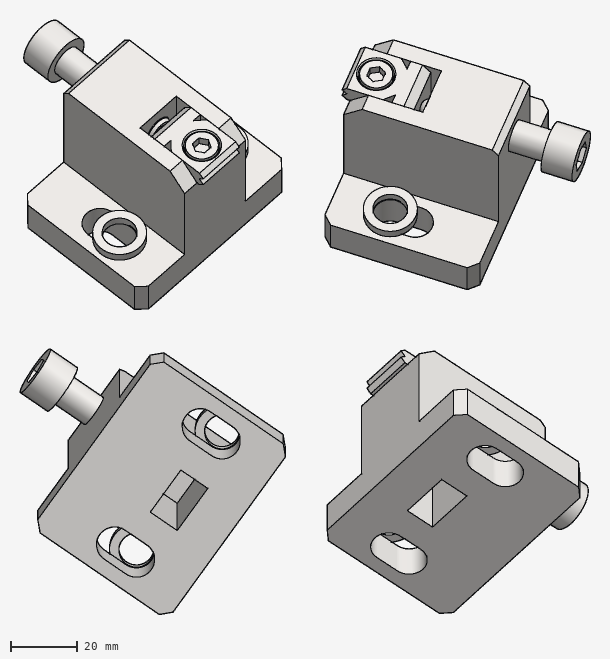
import cadquery as cq
import math


overall_length = 74.2

housing_length = 50.0
housing_height = 50.0
base_width = 65.0
base_height = 12.0
base_corner_chamfer = 3.0
block_width = 27.0
block_back_chamfer = 2.0

mount_x = 31.5
mount_y = 22.5
mount_slot_width = 11.0
mount_slot_travel = 8.0
ring_diameter = 16.3
ring_bore = 10.5
ring_thickness = 3.0

jaw_width = 16.0
jaw_thickness = 6.0
jaw_leg_depth = 15.0
jaw_back_x = 29.9
jaw_leg_front_x = 36.4
jaw_front_x = 52.5
jaw_back_chamfer = 2.7
jaw_notch = 3.0
tooth_count = 2
tooth_pitch = jaw_thickness / tooth_count
tooth_depth = tooth_pitch / 2
tooth_root_x = jaw_front_x - tooth_depth
jaw_bottom_z = housing_height - jaw_thickness

opening_back_x = 26.5

jaw_screw_x = 44.5
jaw_screw_head_diameter = 10.0
jaw_screw_head_height = 4.0
jaw_screw_shank_diameter = 6.0
jaw_screw_shank_length = 14.85
jaw_screw_hex_flats = 5.0
jaw_screw_hex_depth = 3.0
jaw_screw_hex_turn = 30.0
counterbore_diameter = 11.0
counterbore_chamfer = 0.45

clamp_screw_drop = 10.0
clamp_screw_z = housing_height - clamp_screw_drop
clamp_head_back_x = jaw_front_x - overall_length
clamp_head_diameter = 16.0
clamp_head_length = 10.0
clamp_shank_diameter = 10.0
clamp_end_x = 27.7
clamp_end_chamfer_length = 1.5
clamp_end_chamfer_depth = 0.75
clamp_ball_radius = 3.3
clamp_ball_setback = 0.7
clamp_ball_x = clamp_end_x - clamp_ball_setback
clamp_hex_flats = 8.0
clamp_hex_depth = 4.45
clamp_hex_turn = 18.8


def box(x_start, x_end, width, z_start, z_end):
    """Box centred on Y = 0 between the given X and Z limits."""
    blank = cq.Workplane("XY").box(x_end - x_start, width, z_end - z_start, centered=(False, True, False))
    return blank.translate((x_start, 0, z_start))


def upright_cylinder(x, y, z, diameter, height):
    """Cylinder along +Z starting at the given point."""
    return cq.Workplane("XY").circle(diameter / 2).extrude(height).translate((x, y, z))


def corner_diameter(flats):
    """Diameter across the corners of a hexagon of the given width across flats."""
    return flats / math.cos(math.pi / 6)


def make_jaw_shank():
    """Jaw screw shank, also the shape of the hole it fills."""
    shank_end_z = housing_height - jaw_screw_head_height - jaw_screw_shank_length
    return upright_cylinder(jaw_screw_x, 0, shank_end_z, jaw_screw_shank_diameter, jaw_screw_shank_length)


def make_clamp_shaft():
    """Clamp screw without its socket, also the shape of the hole and the dimple it fills."""
    head_radius = clamp_head_diameter / 2
    shank_radius = clamp_shank_diameter / 2
    head_front_x = clamp_head_back_x + clamp_head_length
    chamfer_start_x = clamp_end_x - clamp_end_chamfer_length
    ball_start_radius = math.sqrt(clamp_ball_radius**2 - clamp_ball_setback**2)
    ball_mid = clamp_ball_radius * math.sqrt(0.5)
    profile = (
        cq.Workplane("XZ")
        .moveTo(clamp_head_back_x, 0)
        .lineTo(clamp_head_back_x, head_radius)
        .lineTo(head_front_x, head_radius)
        .lineTo(head_front_x, shank_radius)
        .lineTo(chamfer_start_x, shank_radius)
        .lineTo(clamp_end_x, shank_radius - clamp_end_chamfer_depth)
        .lineTo(clamp_end_x, ball_start_radius)
        .threePointArc((clamp_ball_x + ball_mid, ball_mid), (clamp_ball_x + clamp_ball_radius, 0))
        .close()
    )
    shaft = profile.revolve(360, (0, 0, 0), (1, 0, 0))
    return shaft.translate((0, 0, clamp_screw_z))


def make_mount_ring(side):
    """Raised ring of the housing, standing on the base over the front end of one slot."""
    disc = upright_cylinder(mount_x, side * mount_y, base_height, ring_diameter, ring_thickness)
    return disc.cut(upright_cylinder(mount_x, side * mount_y, base_height, ring_bore, ring_thickness))


def make_mount_slot(side):
    """Cutter for one slot through the base; its front end is concentric with the ring."""
    slot = cq.Workplane("XY").slot2D(mount_slot_travel + mount_slot_width, mount_slot_width).extrude(base_height)
    return slot.translate((mount_x - mount_slot_travel / 2, side * mount_y, 0))


def make_housing():
    base = box(0, housing_length, base_width, 0, base_height).edges("|Z").chamfer(base_corner_chamfer)
    block = box(0, housing_length, block_width, 0, housing_height)
    block = block.edges("<X and >Z").chamfer(block_back_chamfer)
    block = block.edges(">X and >Z").chamfer(jaw_thickness)
    housing = base.union(block)

    housing = housing.cut(box(opening_back_x, jaw_leg_front_x, jaw_width, 0, housing_height))
    housing = housing.cut(box(jaw_leg_front_x, housing_length, jaw_width, jaw_bottom_z, housing_height))

    for side in (-1, 1):
        housing = housing.cut(make_mount_slot(side))
        housing = housing.union(make_mount_ring(side))
    return housing.cut(make_clamp_shaft()).cut(make_jaw_shank())


def make_jaw():
    leg_bottom_z = housing_height - jaw_leg_depth
    outline = [
        (jaw_leg_front_x, jaw_bottom_z),
        (jaw_leg_front_x, leg_bottom_z),
        (jaw_back_x, leg_bottom_z),
        (jaw_back_x, housing_height - jaw_back_chamfer),
        (jaw_back_x + jaw_back_chamfer, housing_height),
        (tooth_root_x, housing_height),
    ]
    for tooth in range(tooth_count):
        tooth_top_z = housing_height - tooth * tooth_pitch
        outline.append((jaw_front_x, tooth_top_z - tooth_depth))
        outline.append((tooth_root_x, tooth_top_z - tooth_pitch))
    jaw = cq.Workplane("XZ").polyline(outline).close().extrude(jaw_width / 2, both=True)

    for side in (-1, 1):
        edge_y = side * jaw_width / 2
        corners = [
            (jaw_leg_front_x, edge_y),
            (jaw_leg_front_x + jaw_notch, edge_y),
            (jaw_leg_front_x, edge_y - side * jaw_notch),
        ]
        notch = cq.Workplane("XY").workplane(offset=jaw_bottom_z).polyline(corners).close()
        jaw = jaw.cut(notch.extrude(jaw_thickness))

    counterbore_z = housing_height - jaw_screw_head_height
    counterbore = upright_cylinder(jaw_screw_x, 0, counterbore_z, counterbore_diameter, jaw_screw_head_height)
    rim_cone = (
        cq.Workplane("XY")
        .circle(counterbore_diameter / 2 + counterbore_chamfer)
        .extrude(-counterbore_chamfer, taper=45)
        .translate((jaw_screw_x, 0, housing_height))
    )
    jaw = jaw.cut(counterbore).cut(rim_cone)
    return jaw.cut(make_jaw_shank()).cut(make_clamp_shaft())


def make_jaw_screw():
    head_z = housing_height - jaw_screw_head_height
    head = upright_cylinder(jaw_screw_x, 0, head_z, jaw_screw_head_diameter, jaw_screw_head_height)
    socket = (
        cq.Workplane("XY")
        .polygon(6, corner_diameter(jaw_screw_hex_flats))
        .extrude(-jaw_screw_hex_depth)
        .rotate((0, 0, 0), (0, 0, 1), jaw_screw_hex_turn)
        .translate((jaw_screw_x, 0, housing_height))
    )
    return head.union(make_jaw_shank()).cut(socket)


def make_clamp_screw():
    socket = (
        cq.Workplane("YZ")
        .polygon(6, corner_diameter(clamp_hex_flats))
        .extrude(clamp_hex_depth)
        .rotate((0, 0, 0), (1, 0, 0), clamp_hex_turn)
        .translate((clamp_head_back_x, 0, clamp_screw_z))
    )
    return make_clamp_shaft().cut(socket)


housing = make_housing()
jaw = make_jaw()
jaw_screw = make_jaw_screw()
clamp_screw = make_clamp_screw()

bodies = [housing, jaw, jaw_screw, clamp_screw]
result = cq.Compound.makeCompound([body.solids().val() for body in bodies])